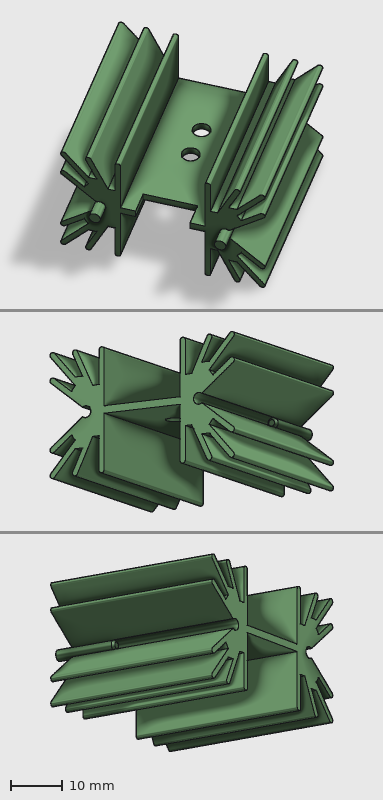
import cadquery as cq
import math

overall_width = 41.6
overall_height = 25.0
sink_length = 38.0
web_thickness = 1.5
web_half_width = 8.55

fin_thickness = 1.15
fin_radius = fin_thickness / 2
tip_x = overall_width / 2 - fin_radius
tip_z = overall_height / 2 - fin_radius
steep_tip_x = 15.15
low_tip_z = 6.85
upright_angle = 90.0
steep_angle = 64.0
diagonal_angle = 48.0
low_angle = 37.6

inner_floor_z = 5.08
middle_floor_z = 7.1
outer_floor_top_z = 5.4
outer_floor_bottom_z = 4.33

hole_diameter = 3.6
hole_positions_y = (18.3, 25.4)
notch_width = 11.05
notch_depth = 5.0

pin_diameter = 2.35
pin_x = 12.77
pin_protrusion = 3.55
pin_length = 13.6
pin_chamfer = 0.5


def fin_outline(center_x, center_z, angle, inner_root_z, outer_root_z):
    """Points along one fin: inner root, inner tip, tip end, outer tip, outer root."""
    along_x = math.cos(math.radians(angle))
    along_z = math.sin(math.radians(angle))
    inner_tip = (center_x - fin_radius * along_z, center_z + fin_radius * along_x)
    outer_tip = (center_x + fin_radius * along_z, center_z - fin_radius * along_x)
    tip_end = (center_x + fin_radius * along_x, center_z + fin_radius * along_z)

    def root(edge_tip, root_z):
        return (edge_tip[0] - (edge_tip[1] - root_z) * along_x / along_z, root_z)

    return root(inner_tip, inner_root_z), inner_tip, tip_end, outer_tip, root(outer_tip, outer_root_z)


def make_profile_quarter():
    """The +X, +Z quarter of the extrusion."""
    web_top = web_thickness / 2
    upright_x = web_half_width + fin_radius
    fins = [
        fin_outline(upright_x, tip_z, upright_angle, web_top, inner_floor_z),
        fin_outline(steep_tip_x, tip_z, steep_angle, inner_floor_z, middle_floor_z),
        fin_outline(tip_x, tip_z, diagonal_angle, middle_floor_z, outer_floor_top_z),
        fin_outline(tip_x, low_tip_z, low_angle, outer_floor_bottom_z, 0.0),
    ]
    outline = cq.Workplane("XZ").moveTo(0, 0).lineTo(0, web_top)
    for inner_root, inner_tip, tip_end, outer_tip, outer_root in fins:
        outline = outline.lineTo(*inner_root).lineTo(*inner_tip)
        outline = outline.threePointArc(tip_end, outer_tip).lineTo(*outer_root)
    return outline.close().extrude(-sink_length)


def make_heatsink():
    quarter = make_profile_quarter()
    half = quarter.union(quarter.mirror("XY"))
    sink = half.union(half.mirror("YZ")).clean()

    holes = (
        cq.Workplane("XY")
        .pushPoints([(0, y) for y in hole_positions_y])
        .circle(hole_diameter / 2)
        .extrude(web_thickness, both=True)
    )
    notch = cq.Workplane("XY").box(notch_width, 2 * notch_depth, 2 * web_thickness)
    bores = (
        cq.Workplane("XZ")
        .pushPoints([(-pin_x, 0), (pin_x, 0)])
        .circle(pin_diameter / 2)
        .extrude(-sink_length)
    )
    return sink.cut(holes).cut(notch).cut(bores)


def make_pin(x):
    """A round pin standing out of the front face, chamfered at its buried end."""
    return (
        cq.Workplane("XZ", origin=(x, -pin_protrusion, 0))
        .circle(pin_diameter / 2)
        .extrude(-pin_length)
        .faces(">Y")
        .chamfer(pin_chamfer)
    )


heatsink = make_heatsink()
pins = [make_pin(x) for x in (-pin_x, pin_x)]

result = cq.Compound.makeCompound([heatsink.val(), *[pin.val() for pin in pins]])